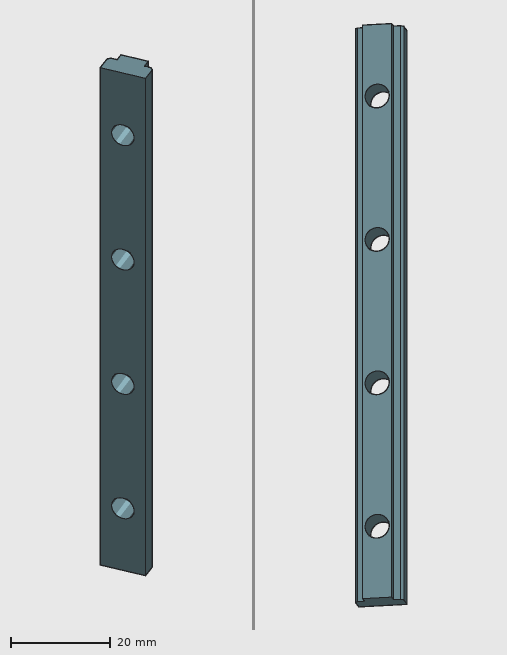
import cadquery as cq

length = 120.0
base_width = 10.0
total_depth = 6.0
rib_width = 6.0
rib_height = 1.9
shoulder_chamfer = 0.6
hole_diameter = 4.9
hole_count = 4
hole_pitch = length / hole_count

base_depth = total_depth - rib_height


def make_bar():
    """T-shaped bar: a wide base with a narrower rib on its +Y side."""
    base = (
        cq.Workplane("XY")
        .rect(base_width, base_depth)
        .extrude(length)
        .translate((0, base_depth / 2, 0))
        .faces(">Y")
        .edges("|Z")
        .chamfer(shoulder_chamfer)
    )
    rib = (
        cq.Workplane("XY")
        .rect(rib_width, total_depth)
        .extrude(length)
        .translate((0, total_depth / 2, 0))
    )
    return base.union(rib)


def make_holes():
    """Row of through holes along the bar, half a pitch from each end."""
    return (
        cq.Workplane("XZ", origin=(0, total_depth, length / 2))
        .rarray(1.2, hole_pitch, 1, hole_count)
        .circle(hole_diameter / 2)
        .extrude(total_depth)
    )


result = make_bar().cut(make_holes())